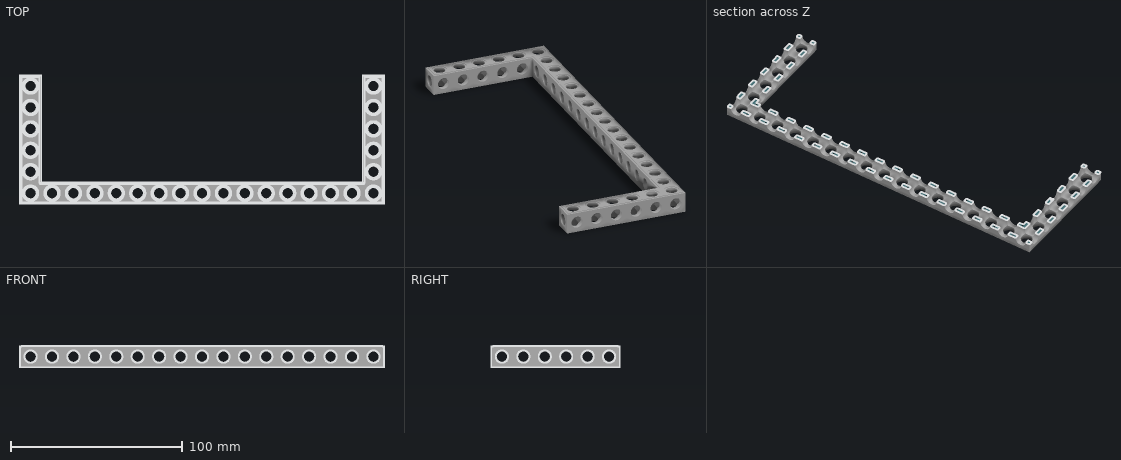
import cadquery as cq

length = 212.5
holes_along_back = 17
holes_along_arm = 6
hole_diameter = 7.0
counterbore_diameter = 9.1
rim_step_width = 1.0
top_step_depth = 0.32

pitch = length / holes_along_back
section = pitch
half_section = section / 2
arm_length = holes_along_arm * pitch
step_floor = section - top_step_depth

back_positions = [half_section + i * pitch for i in range(holes_along_back)]
arm_positions = [half_section + i * pitch for i in range(holes_along_arm)]


def draw_outline(height):
    """Closed U outline on a horizontal plane, open towards +Y."""
    inner_x = length - section
    return cq.Workplane("XY", origin=(0, 0, height)).polyline([
        (0, 0),
        (length, 0),
        (length, arm_length),
        (inner_x, arm_length),
        (inner_x, section),
        (section, section),
        (section, arm_length),
        (0, arm_length),
    ]).close()


def make_frame():
    """Full-size U up to the step, with the top layer inset all round."""
    lower = draw_outline(0).extrude(step_floor)
    upper = draw_outline(step_floor).offset2D(-rim_step_width).extrude(top_step_depth)
    return lower.union(upper)


def make_rods(plane, points, diameter, depth, start=0):
    """Round cutters along the plane normal, starting at the given offset."""
    return cq.Workplane(plane).workplane(offset=start).pushPoints(points).circle(diameter / 2).extrude(depth)


back_centers = [(x, half_section) for x in back_positions]
arm_centers = [(x, y) for x in (back_positions[0], back_positions[-1]) for y in arm_positions[1:]]
vertical_centers = back_centers + arm_centers
side_centers = [(y, half_section) for y in arm_positions]

vertical_holes = make_rods("XY", vertical_centers, hole_diameter, section)
counterbores = make_rods("XY", vertical_centers, counterbore_diameter, top_step_depth, step_floor)

front_holes = make_rods("XZ", back_centers, hole_diameter, -arm_length)
side_holes = make_rods("YZ", side_centers, hole_diameter, length)

result = make_frame()
for cutter in (vertical_holes, counterbores, front_holes, side_holes):
    result = result.cut(cutter)